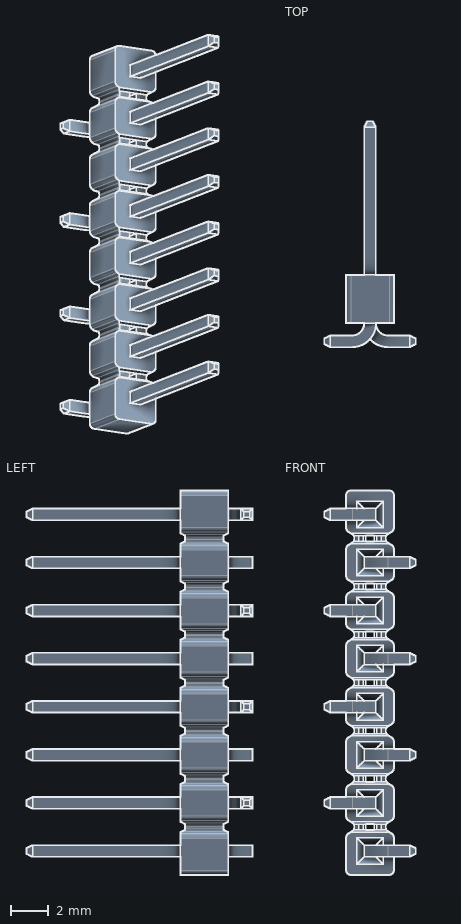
import cadquery as cq

pin_count = 8
length = 20.32
pitch = length / pin_count

cell_width = pitch
housing_depth = pitch
end_corner_radius = 0.26
neck_width = 1.67
neck_depth = 2.05
gap_height = 0.3
waist_mouth = 0.85
waist_outer_radius = 0.28
waist_inner_radius = 0.22
groove_mouth = 0.55

recess_width = 1.18
recess_depth = 0.25
slot_mouth = 0.7
slot_throat = 0.43
slot_taper_depth = 0.25

funnel_mouth = 1.4
funnel_depth = 0.4

pin_size = 0.63
bend_inner_radius = pin_size
bend_outer_radius = bend_inner_radius + pin_size
foot_reach = 2.42
pin_length = 11.95
foot_offset = 1.28
tip_length = 0.33
tip_size = 0.3

housing_front = -housing_depth / 2
foot_front = housing_front - foot_offset
pin_end = foot_front + pin_length
cell_heights = [length / 2 - pitch * (i + 0.5) for i in range(pin_count)]
neck_heights = [length / 2 - pitch * (i + 1) for i in range(pin_count - 1)]


def edges_at(x):
    """Selector for the sharp waist edges at one X, which leaves out the two ends of the bar."""
    margin = 0.02
    half_height = length / 2 - end_corner_radius
    return cq.selectors.BoxSelector(
        (x - margin, -margin, -half_height),
        (x + margin, margin, half_height),
    )


def make_bar():
    """Solid bar with rounded outer corners and a waist on both sides between neighbouring cells."""
    half_width = cell_width / 2
    half_neck = neck_width / 2
    half_gap = gap_height / 2
    half_waist = waist_mouth / 2
    right_side = [(half_width, length / 2)]
    for z in neck_heights:
        right_side += [
            (half_width, z + half_waist),
            (half_neck, z + half_gap),
            (half_neck, z - half_gap),
            (half_width, z - half_waist),
        ]
    right_side.append((half_width, -length / 2))
    left_side = [(-x, z) for x, z in reversed(right_side)]
    bar = (
        cq.Workplane("XZ")
        .polyline(right_side + left_side)
        .close()
        .extrude(housing_depth / 2, both=True)
    )
    for x in (-half_neck, half_neck):
        bar = bar.edges(edges_at(x)).fillet(waist_inner_radius)
    for x in (-half_width, half_width):
        bar = bar.edges(edges_at(x)).fillet(waist_outer_radius)
    return bar.edges("|Y and (<Z or >Z)").fillet(end_corner_radius)


def make_groove(z):
    """Pair of bevelled grooves across the front and back of the bar at one neck."""
    groove = (
        cq.Workplane("YZ")
        .polyline([
            (housing_front, z + groove_mouth / 2),
            (-neck_depth / 2, z + gap_height / 2),
            (-neck_depth / 2, z - gap_height / 2),
            (housing_front, z - groove_mouth / 2),
        ])
        .close()
        .extrude(cell_width / 2, both=True)
    )
    return groove.union(groove.mirror("XZ"))


def make_neck_opening(z):
    """Shallow recess in the front of a neck, then a slot that narrows to a straight throat."""
    recess_floor = -neck_depth / 2 + recess_depth
    taper_end = recess_floor + slot_taper_depth
    slot_end = neck_depth / 2
    return (
        cq.Workplane("XY", origin=(0, 0, z - gap_height / 2))
        .polyline([
            (-recess_width / 2, -neck_depth / 2),
            (-recess_width / 2, recess_floor),
            (-slot_mouth / 2, recess_floor),
            (-slot_throat / 2, taper_end),
            (-slot_throat / 2, slot_end),
            (slot_throat / 2, slot_end),
            (slot_throat / 2, taper_end),
            (slot_mouth / 2, recess_floor),
            (recess_width / 2, recess_floor),
            (recess_width / 2, -neck_depth / 2),
        ])
        .close()
        .extrude(gap_height)
    )


def make_pin_seat(z):
    """Square hole through a cell with a funnel at the front that narrows to the hole."""
    hole = cq.Workplane("XY").box(pin_size, housing_depth, pin_size)
    funnel = (
        cq.Workplane("XZ", origin=(0, housing_front, 0))
        .rect(funnel_mouth, funnel_mouth)
        .workplane(offset=-funnel_depth)
        .rect(pin_size, pin_size)
        .loft()
    )
    return hole.union(funnel).translate((0, 0, z))


def make_housing():
    housing = make_bar()
    for z in neck_heights:
        housing = housing.cut(make_groove(z)).cut(make_neck_opening(z))
    for z in cell_heights:
        housing = housing.cut(make_pin_seat(z))
    return housing


def make_tip(plane):
    """Tapered pin end that starts on the given plane and points along its normal."""
    return (
        cq.Workplane(plane)
        .rect(pin_size, pin_size)
        .workplane(offset=tip_length)
        .rect(tip_size, tip_size)
        .loft()
    )


def make_pin():
    """Pin at Z = 0: straight tail toward +Y, quarter bend, and foot toward +X."""
    half_size = pin_size / 2
    tail_end = pin_end - tip_length
    foot_end = foot_reach - tip_length
    bend_x = bend_outer_radius - half_size
    bend_y = foot_front + bend_outer_radius
    shank = (
        cq.Workplane("XY")
        .moveTo(-half_size, tail_end)
        .lineTo(-half_size, bend_y)
        .radiusArc((bend_x, foot_front), -bend_outer_radius)
        .lineTo(foot_end, foot_front)
        .lineTo(foot_end, foot_front + pin_size)
        .lineTo(bend_x, foot_front + pin_size)
        .radiusArc((half_size, bend_y), bend_inner_radius)
        .lineTo(half_size, tail_end)
        .close()
        .extrude(half_size, both=True)
    )
    tail_plane = cq.Plane(origin=(0, tail_end, 0), xDir=(1, 0, 0), normal=(0, 1, 0))
    foot_plane = cq.Plane(origin=(foot_end, foot_front + half_size, 0), xDir=(0, 1, 0), normal=(1, 0, 0))
    return shank.union(make_tip(tail_plane)).union(make_tip(foot_plane))


def make_pins():
    """One pin per cell from the top down; the feet point to -X and +X in turn, starting with -X."""
    right_pin = make_pin()
    left_pin = right_pin.mirror("YZ")
    pins = []
    for index, z in enumerate(cell_heights):
        pin = left_pin if index % 2 == 0 else right_pin
        pins.append(pin.translate((0, 0, z)).val())
    return pins


housing = make_housing()
pins = make_pins()
result = cq.Compound.makeCompound([housing.val(), *pins])